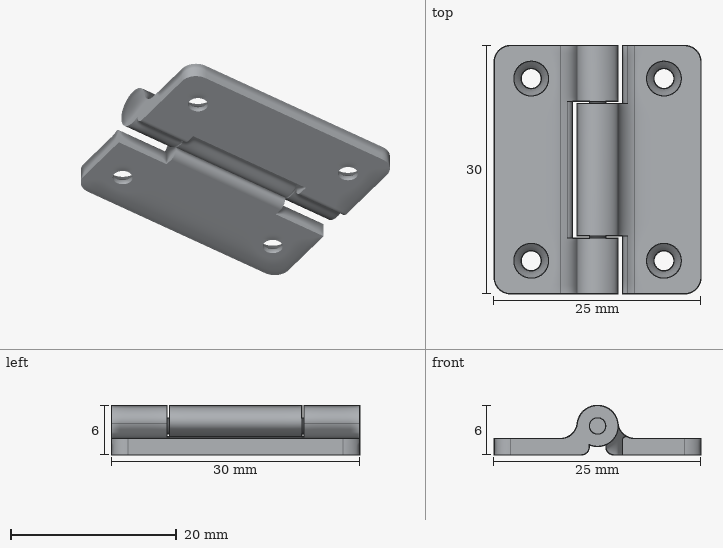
import cadquery as cq
import math

hinge_length = 30.0
hinge_width = 25.0
hinge_height = 6.0

leaf_thickness = 2.0
corner_radius = 2.0
barrel_radius = 2.5
root_radius = 2.0
inner_edge_x = 1.0
inner_edge_radius = 1.0

center_knuckle_length = 16.0
center_slot_length = 16.5
slot_edge_x = 3.0
slot_edge_radius = 0.45
pin_radius = 1.0

hole_x = 8.0
hole_spacing = 22.0
hole_diameter = 2.4
sink_diameter = 4.2
sink_rim_depth = 0.45
sink_cone_depth = (sink_diameter - hole_diameter) / 2

axis_z = hinge_height - barrel_radius
half_width = hinge_width / 2
half_length = hinge_length / 2

root_z = leaf_thickness + root_radius
root_x = math.sqrt((barrel_radius + root_radius) ** 2 - (root_z - axis_z) ** 2)


def extrude_along_axis(profile, length):
    """Extrude an XZ profile symmetrically about the middle of the hinge."""
    return profile.extrude(length / 2, both=True)


def make_leaf_profile():
    """Outline of the left leaf with its barrel."""
    touch_share = barrel_radius / (barrel_radius + root_radius)
    barrel_touch = (-root_x * touch_share, axis_z + (root_z - axis_z) * touch_share)
    axis_angle = math.asin((root_z - axis_z) / (barrel_radius + root_radius))
    root_angle = (math.pi / 2 + axis_angle) / 2
    root_mid = (-root_x + root_radius * math.cos(root_angle),
                root_z - root_radius * math.sin(root_angle))
    under_barrel_z = axis_z - math.sqrt(barrel_radius ** 2 - inner_edge_x ** 2)
    edge_mid_offset = inner_edge_radius * (1 - math.sqrt(0.5))
    return (
        cq.Workplane("XZ")
        .moveTo(-half_width, 0)
        .lineTo(-half_width, leaf_thickness)
        .lineTo(-root_x, leaf_thickness)
        .threePointArc(root_mid, barrel_touch)
        .threePointArc((barrel_radius, axis_z), (-inner_edge_x, under_barrel_z))
        .lineTo(-inner_edge_x, inner_edge_radius)
        .threePointArc((-inner_edge_x - edge_mid_offset, edge_mid_offset),
                       (-inner_edge_x - inner_edge_radius, 0))
        .close()
    )


def make_slot_cutter(y_start, y_end):
    """Block that clears one stretch of the barrel, back to the cut-back edge."""
    return cq.Workplane("XY").box(
        slot_edge_x + barrel_radius, y_end - y_start, hinge_height, centered=False
    ).translate((-slot_edge_x, y_start, 0))


def round_slot_edges(leaf, y_middles):
    """Round the top of each cut-back edge, picked by its middle along Y."""
    for y_middle in y_middles:
        edge_top = (-slot_edge_x, y_middle, leaf_thickness)
        leaf = leaf.edges(cq.NearestToPointSelector(edge_top)).fillet(slot_edge_radius)
    return leaf


def make_screw_cutter(y):
    """Revolved shape of one countersunk screw hole in the left leaf."""
    rim_z = leaf_thickness - sink_rim_depth
    return (
        cq.Workplane("XZ")
        .polyline([
            (0, 0),
            (hole_diameter / 2, 0),
            (hole_diameter / 2, rim_z - sink_cone_depth),
            (sink_diameter / 2, rim_z),
            (sink_diameter / 2, leaf_thickness),
            (0, leaf_thickness),
        ])
        .close()
        .revolve(360, (0, 0, 0), (0, 1, 0))
        .translate((-hole_x, y, 0))
    )


def make_pin():
    """Full-length pin, which also shapes the bore of the leaves."""
    return extrude_along_axis(cq.Workplane("XZ").center(0, axis_z).circle(pin_radius), hinge_length)


def make_plain_leaf():
    """Left leaf with a full-length barrel, rounded corners and a pin bore."""
    leaf = extrude_along_axis(make_leaf_profile(), hinge_length)
    leaf = leaf.edges("|Z and <X").fillet(corner_radius)
    leaf = leaf.cut(make_pin())
    for y in (-hole_spacing / 2, hole_spacing / 2):
        leaf = leaf.cut(make_screw_cutter(y))
    return leaf


def make_outer_leaf():
    """Left leaf, with a knuckle at each end."""
    slot_end = center_slot_length / 2
    leaf = make_plain_leaf().cut(make_slot_cutter(-slot_end, slot_end))
    return round_slot_edges(leaf, [0])


def make_center_leaf():
    """Right leaf, with one knuckle in the middle."""
    knuckle_end = center_knuckle_length / 2
    leaf = (
        make_plain_leaf()
        .cut(make_slot_cutter(-half_length, -knuckle_end))
        .cut(make_slot_cutter(knuckle_end, half_length))
    )
    notch_middle = (knuckle_end + half_length) / 2
    leaf = round_slot_edges(leaf, [-notch_middle, notch_middle])
    return leaf.mirror("YZ")


outer_leaf = make_outer_leaf()
center_leaf = make_center_leaf()
pin = make_pin()

result = cq.Compound.makeCompound([outer_leaf.val(), center_leaf.val(), pin.val()])